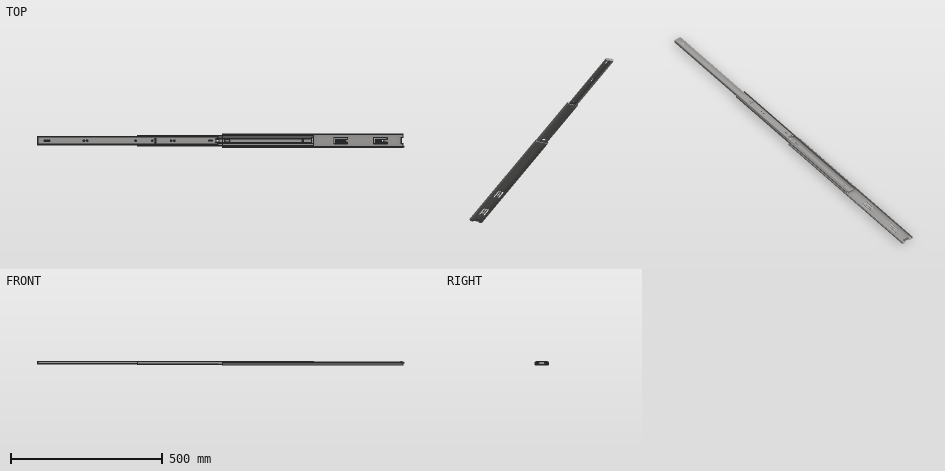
import cadquery as cq
import math


CABINET_START = 610.0
CABINET_END = 1207.0
CABINET_WIDTH = 45.4
CABINET_HEIGHT = 9.8
CABINET_WALL = 1.8
CABINET_BASE_WIDTH = 42.4
CABINET_BEND = 2.2
CABINET_SHOULDER_Z = 7.0
CABINET_CURL_WIDTH = 41.0
CABINET_MOUTH = 39.4

MIDDLE_START = 329.5
MIDDLE_END = 911.2
MIDDLE_WIDTH = 35.0
MIDDLE_BOTTOM = 2.0
MIDDLE_TOP = 12.2
MIDDLE_WALL = 1.4
MIDDLE_BEND = 2.5
RIB_FOOT_WIDTH = 18.0
RIB_CREST_WIDTH = 11.0
RIB_HEIGHT = 1.6
MIDDLE_WEB_TOP = MIDDLE_BOTTOM + MIDDLE_WALL
RIB_TOP = MIDDLE_WEB_TOP + RIB_HEIGHT

DRAWER_LENGTH = 595.5
DRAWER_WIDTH = 27.4
DRAWER_SHOULDER_WIDTH = 26.2
DRAWER_BOTTOM = 3.8
DRAWER_TOP = 12.7
DRAWER_WALL = 1.4
DRAWER_WEB_WIDTH = 19.6
SHOULDER_HEIGHT = 3.6

DRAWER_HOLES = (153.0, 164.0, 324.0, 379.0, 441.0, 452.0)
DRAWER_HOLE_DIAMETER = 4.6
DRAWER_SLOTS = ((22.5, 40.0), (565.0, 577.0))
DRAWER_SLOT_WIDTH = 3.4
SLIT_START = 387.5
SLIT_LENGTH = 3.0
SLIT_WIDTH = 14.0
END_NOTCH_LENGTH = 7.0
END_NOTCH_WIDTH = 13.0

MIDDLE_WINDOW = (589.5, 598.5)
MIDDLE_WINDOW_WIDTH = 9.0
MIDDLE_SLOT = (617.5, 635.0)
MIDDLE_SLOT_WIDTH = 8.0
MIDDLE_HOLE = 876.0
MIDDLE_HOLE_DIAMETER = 5.5
MIDDLE_STOP_LENGTH = 7.0
MIDDLE_STOP_WIDTH = 20.0
MIDDLE_STOP_HEIGHT = 3.0

TONGUE_CUT_LENGTH = 44.0
TONGUE_CUT_WIDTH = 20.0
TONGUE_CUT_STARTS = (979.0, 1110.0)
TONGUE_WIDTH = 11.0
TONGUE_TIP_GAP = 5.0
TONGUE_SLOTS = ((987.5, 1016.0), (1116.0, 1131.0))
TONGUE_SLOT_WIDTH = 3.4
TONGUE_HOLE = 1139.5
TONGUE_HOLE_DIAMETER = 9.0

STOP_NOTCH_LENGTH = 5.0
STOP_WIDTH = 20.0
STOP_TOP = 11.5

LUG_END = 1210.0
LUG_LENGTH = 7.0
LUG_WIDTH = 1.6
LUG_Y = -20.6
LUG_BOTTOM = 7.0
LUG_TOP = 9.3


def block(x0, x1, width, z0, z1):
    """Box from x0 to x1 and z0 to z1, centred on the XZ plane."""
    box = cq.Workplane("XY").box(x1 - x0, width, z1 - z0, centered=(False, True, False))
    return box.translate((x0, 0, z0))


def hole(x, diameter):
    """Vertical cutter through the full height of the slide."""
    return cq.Workplane("XY").center(x, 0).circle(diameter / 2).extrude(DRAWER_TOP)


def slot(x0, x1, width):
    """Vertical round-ended cutter spanning x0 to x1."""
    return cq.Workplane("XY").center((x0 + x1) / 2, 0).slot2D(x1 - x0, width).extrude(DRAWER_TOP)


def window(x0, x1, width):
    """Vertical square-cornered cutter."""
    return block(x0, x1, width, 0, DRAWER_TOP)


def cabinet_outline():
    """Cross-section of the cabinet rail as if it were solid."""
    half_base = CABINET_BASE_WIDTH / 2
    half_width = CABINET_WIDTH / 2
    half_curl = CABINET_CURL_WIDTH / 2
    return (
        cq.Workplane("YZ", origin=(CABINET_START, 0, 0))
        .moveTo(-half_base, 0)
        .lineTo(half_base, 0)
        .lineTo(half_width, CABINET_SHOULDER_Z)
        .lineTo(half_curl, CABINET_HEIGHT)
        .lineTo(-half_curl, CABINET_HEIGHT)
        .lineTo(-half_width, CABINET_SHOULDER_Z)
        .close()
    )


def cut_tongues(rail):
    for start, (slot_start, slot_end) in zip(TONGUE_CUT_STARTS, TONGUE_SLOTS):
        end = start + TONGUE_CUT_LENGTH
        tongue = window(start + TONGUE_TIP_GAP, end, TONGUE_WIDTH)
        rail = rail.cut(window(start, end, TONGUE_CUT_WIDTH).cut(tongue))
        rail = rail.cut(slot(slot_start, slot_end, TONGUE_SLOT_WIDTH))
    return rail.cut(hole(TONGUE_HOLE, TONGUE_HOLE_DIAMETER))


def make_cabinet_rail():
    mouth = block(CABINET_START, CABINET_END, CABINET_MOUTH, CABINET_HEIGHT / 2, CABINET_HEIGHT)
    length = CABINET_END - CABINET_START
    body = cabinet_outline().extrude(length)
    cavity = cabinet_outline().offset2D(-CABINET_WALL).extrude(length)
    body = body.edges("|X and <Z").fillet(CABINET_BEND)
    cavity = cavity.edges("|X and <Z").fillet(CABINET_BEND - CABINET_WALL)
    rail = body.cut(cavity).cut(mouth)
    rail = cut_tongues(rail)

    notch_start = CABINET_END - STOP_NOTCH_LENGTH
    rail = rail.cut(window(notch_start, CABINET_END, STOP_WIDTH))
    rail = rail.union(block(notch_start - CABINET_WALL, notch_start, STOP_WIDTH, 0, STOP_TOP))

    lug = block(LUG_END - LUG_LENGTH, LUG_END, LUG_WIDTH, LUG_BOTTOM, LUG_TOP)
    return rail.union(lug.translate((0, LUG_Y, 0)))


def rib_prism(drop):
    """Trapezoidal prism along the middle rail, lowered by `drop`."""
    half_foot = RIB_FOOT_WIDTH / 2
    half_crest = RIB_CREST_WIDTH / 2
    return (
        cq.Workplane("YZ", origin=(MIDDLE_START, 0, -drop))
        .moveTo(-half_foot, MIDDLE_WEB_TOP)
        .lineTo(-half_crest, RIB_TOP)
        .lineTo(half_crest, RIB_TOP)
        .lineTo(half_foot, MIDDLE_WEB_TOP)
        .close()
        .extrude(MIDDLE_END - MIDDLE_START)
    )


def make_middle_rail():
    body = block(MIDDLE_START, MIDDLE_END, MIDDLE_WIDTH, MIDDLE_BOTTOM, MIDDLE_TOP)
    cavity = block(MIDDLE_START, MIDDLE_END, MIDDLE_WIDTH - 2 * MIDDLE_WALL, MIDDLE_WEB_TOP, MIDDLE_TOP)
    rail = body.edges("|X and <Z").fillet(MIDDLE_BEND)
    rail = rail.cut(cavity.edges("|X and <Z").fillet(MIDDLE_BEND - MIDDLE_WALL))
    rail = rail.union(rib_prism(0)).cut(rib_prism(MIDDLE_WALL))

    stop_start = MIDDLE_END - MIDDLE_STOP_LENGTH
    stop_top = RIB_TOP + MIDDLE_STOP_HEIGHT
    rail = rail.union(block(stop_start, MIDDLE_END, MIDDLE_STOP_WIDTH, MIDDLE_BOTTOM, stop_top))

    rail = rail.cut(window(*MIDDLE_WINDOW, MIDDLE_WINDOW_WIDTH))
    rail = rail.cut(slot(*MIDDLE_SLOT, MIDDLE_SLOT_WIDTH))
    return rail.cut(hole(MIDDLE_HOLE, MIDDLE_HOLE_DIAMETER))


def shouldered_bar(x0, inset):
    """Drawer rail outline shrunk by `inset` at the top and sides, from x0 to the rail's far end."""
    half_width = DRAWER_WIDTH / 2 - inset
    half_shoulder = DRAWER_SHOULDER_WIDTH / 2 - inset
    half_web = DRAWER_WEB_WIDTH / 2
    top = DRAWER_TOP - inset
    shoulder_z = DRAWER_TOP - SHOULDER_HEIGHT
    halfway_y = half_web + (half_shoulder - half_web) * math.sin(math.pi / 4)
    halfway_z = shoulder_z + (top - shoulder_z) * math.sin(math.pi / 4)
    return (
        cq.Workplane("YZ", origin=(x0, 0, 0))
        .moveTo(-half_width, DRAWER_BOTTOM)
        .lineTo(-half_shoulder, shoulder_z)
        .threePointArc((-halfway_y, halfway_z), (-half_web, top))
        .lineTo(half_web, top)
        .threePointArc((halfway_y, halfway_z), (half_shoulder, shoulder_z))
        .lineTo(half_width, DRAWER_BOTTOM)
        .close()
        .extrude(DRAWER_LENGTH - x0)
    )


def make_drawer_rail():
    rail = shouldered_bar(0, 0).cut(shouldered_bar(DRAWER_WALL, DRAWER_WALL))
    for x in DRAWER_HOLES:
        rail = rail.cut(hole(x, DRAWER_HOLE_DIAMETER))
    for x0, x1 in DRAWER_SLOTS:
        rail = rail.cut(slot(x0, x1, DRAWER_SLOT_WIDTH))
    rail = rail.cut(window(SLIT_START, SLIT_START + SLIT_LENGTH, SLIT_WIDTH))
    return rail.cut(window(DRAWER_LENGTH - END_NOTCH_LENGTH, DRAWER_LENGTH, END_NOTCH_WIDTH))


cabinet_rail = make_cabinet_rail()
middle_rail = make_middle_rail()
drawer_rail = make_drawer_rail()

result = cq.Compound.makeCompound([cabinet_rail.val(), middle_rail.val(), drawer_rail.val()])